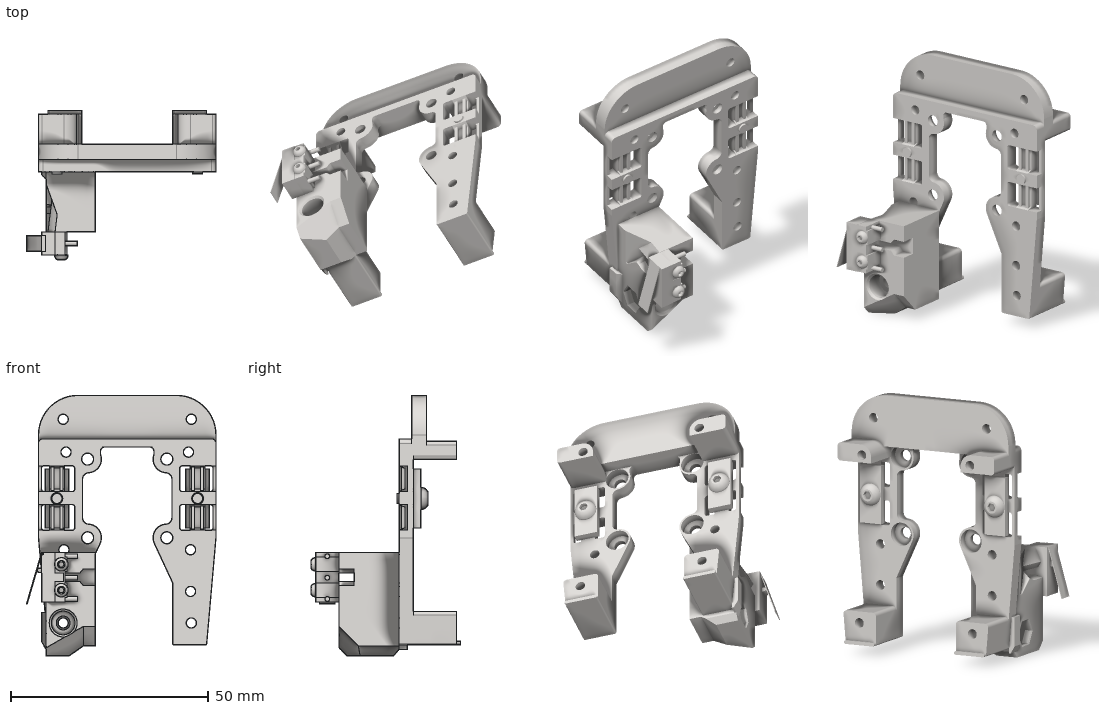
import cadquery as cq
import math

BEYOND = 0.65

HALF_WIDTH = 22.5
PLATE_THICKNESS = 3.6
PLATE_TOP = 55.0
PLATE_CORNER = 1.2
TAPER_TOP = 29.9
LEG_BOTTOM = 2.8
LEG_OUTER = 20.1
LEG_INNER = 11.5
LEG_INNER_TOP = 18.5
TOTAL_HEIGHT = 66.0

FLANGE_FRONT = 3.2
FLANGE_BACK = 7.0
FLANGE_CORNER = 10.0

OPENING_TOP = 52.85
OPENING_TOP_HALF = 6.7
OPENING_SIDE_HALF = 11.3
OPENING_TOP_FILLET = 1.0
LOBE_X = 10.0
LOBE_HEIGHTS = (29.9, 49.8)
LOBE_RADIUS = 3.5
LOBE_FILLET = 1.5
MOTOR_HOLE = 3.0
MOTOR_COUNTERBORE = 6.0
MOTOR_SEAT = 1.3

SMALL_HOLE = 2.5
FOOT_HOLE = (16.25, 8.3)
SMALL_HOLES = ((16.25, 59.9), (15.5, 51.6), (16.05, 26.85), (16.05, 16.3), FOOT_HOLE)

LUG_BACK = 14.6
LUG_FILLET = 0.9
UPPER_LUG_BOTTOM = 49.7
UPPER_LUG_TOP = 54.4
UPPER_LUG_INNER = 12.9
UPPER_LUG_ROUND = 3.1
LOWER_LUG_TOP = 11.3
LIP_BACK = 15.6
LIP_HEIGHT = 0.9
LIP_FILLET = 0.45
FOOT_FILLET = 0.4

CLAMP_X = 17.8
CLAMP_Z = 39.85
WINDOW_BOTTOMS = (31.8, 41.65)
WINDOW_HEIGHT = 6.5
WINDOW_INNER = 13.3
WINDOW_OUTER = 21.7
WINDOW_CORNER = 0.6
BELT_DEPTH = 2.1
BAR_HALF = 1.9
BAR_FRONT = 1.45
RIB_INNER = 0.7
RIB_OUTER = 1.5
RIB_FRONT = 0.65
BAR_RAMP = 0.6

DOME_FLATNESS = 8
HEAD_RIM = 0.2

CLAMP_WIDTH = 6.0
CLAMP_HEIGHT = 15.0
CLAMP_THICKNESS = 1.9
CLAMP_SCREW = 3.0
CLAMP_SCREW_TIP = -0.5
CLAMP_SCREW_POINT = 2.6
CLAMP_HEAD = 5.7
CLAMP_HEAD_TOP = 3.05
CLAMP_HEAD_HEIGHT = 1.85
CLAMP_SOCKET = 2.3
CLAMP_SOCKET_DEPTH = 1.05

BRACKET_LEFT = -20.5
BRACKET_RIGHT = -8.05
BRACKET_TOP = 26.2
BRACKET_FRONT = -15.25
BRACKET_FOOT_END = -14.7
STEP_X = -11.1
STEP_BOTTOM = 2.5
BACK_CHAMFER_Y = 1.4
BACK_CHAMFER_Z = 1.6
FOOT_CHAMFER = 2.05
STEP_CHAMFER_TOP = 7.45

TAB_LEFT = -21.7
TAB_FRONT = -1.9
TAB_BACK = 2.1
TAB_BOTTOM = 1.6
TAB_TOP = 11.0
TAB_SLOPE_TOP = 3.55

BORE_COUNTERBORE = 6.0
BORE_CHAMFER = 0.5
BORE_COUNTERBORE_DEPTH = 4.95
BORE_HOLE = 3.5

NUT_Y = -6.0
NUT_Z = 5.6
NUT_CORNERS = 6.9
NUT_DEPTH = 2.0
NUT_CHAMFER = 0.3

CHANNEL_BOTTOM = 18.9
CHANNEL_TOP = 20.9
CHANNEL_BACK = -11.35
FLARE_START = -12.1
FLARE_RISE = 1.1

HOLLOW_BACK = -3.2
HOLLOW_DEEP = (-17.75, -10.8)
HOLLOW_FLOOR_OUTER = (
    (HOLLOW_BACK, 15.85), (-4.1, 16.0), (-8.2, 19.3), (-9.0, 19.0), (-10.55, 18.4), (BRACKET_FRONT, 18.4)
)
HOLLOW_FLOOR_INNER = (
    (HOLLOW_BACK, 15.85), (-4.1, 16.7), (-8.65, 20.85), (-9.0, 19.3), (-10.55, CHANNEL_BOTTOM),
    (BRACKET_FRONT, CHANNEL_BOTTOM)
)
HOLLOW_FLOOR_INNER_X = -18.5
RIDGE_TURN = 6.8
RIDGE_TOP_X = -18.3
RIDGE_X = -20.05
RIDGE_Z = 22.45
RIDGE_FOOT_X = -19.2

SWITCH_LEFT = -21.7
SWITCH_STEP = -18.3
SWITCH_RIGHT = -15.7
SWITCH_DEPTH = 5.9
SWITCH_BOTTOM = 13.6
SWITCH_RECESS = 0.05
TONGUE_RIGHT = -16.1
BOSS_RIGHT = -15.25
BOSS_HEIGHT = 3.7
PIN_DIAMETER = 1.2
PIN_END = -12.6
PIN_SPACING = 5.4
PIN_MIDDLE_Z = 19.8
BUTTON_TIP = -22.8
BUTTON_Z = 21.65
BUTTON_HEIGHT = 1.2
BUTTON_WIDTH = 2.0
BUTTON_ROUND = 0.5
SWITCH_MIDDLE_Y = BRACKET_FRONT - SWITCH_DEPTH / 2
SWITCH_MIDDLE_Z = (BRACKET_TOP + SWITCH_BOTTOM) / 2
SWITCH_FRONT = BRACKET_FRONT - SWITCH_DEPTH

LEVER_WIDTH = 4.0
LEVER_THICKNESS = 0.2
LEVER_TIP = (-25.55, 13.15)
LEVER_PIN = 0.4
LEVER_PIN_X = -21.4
LEVER_TAB_END = -20.7
LEVER_TAB_HEIGHT = 0.8

SWITCH_SCREW_X = -16.7
SWITCH_SCREW_SPACING = 6.55
SWITCH_SCREW = 2.0
SWITCH_SCREW_END = -10.7
SWITCH_HEAD = 3.4
SWITCH_HEAD_TOP = 1.9
SWITCH_HEAD_HEIGHT = 1.2
SWITCH_SOCKET = 1.45
SWITCH_SOCKET_DEPTH = 0.8


def box(x_range, y_range, z_range):
    """Axis-aligned block between pairs of limits."""
    size = [high - low for low, high in (x_range, y_range, z_range)]
    corner = (x_range[0], y_range[0], z_range[0])
    return cq.Workplane("XY").box(*size, centered=False).translate(corner)


def upright(y):
    """Sketch plane at y with X to the right and Z up; negative extrusion goes toward +Y."""
    return cq.Workplane("XZ", origin=(0, y, 0))


def rod(x, z, diameter, y_front, y_back):
    """Cylinder along Y."""
    return upright(y_front).center(x, z).circle(diameter / 2).extrude(y_front - y_back)


def with_mirror(half):
    """A right-hand feature together with its left-hand mirror image."""
    return half.union(half.mirror("YZ"))


def leg_outer_x(z):
    """Outer side of the tapering leg at height z."""
    share = (z - LEG_BOTTOM) / (TAPER_TOP - LEG_BOTTOM)
    return LEG_OUTER + share * (HALF_WIDTH - LEG_OUTER)


def opening():
    """The central opening and the gap between the legs."""
    low_z, high_z = LOBE_HEIGHTS
    reach_x = LEG_INNER - LOBE_X
    reach_z = LEG_INNER_TOP - low_z
    distance = math.hypot(reach_x, reach_z)
    tangent_angle = math.atan2(reach_z, reach_x) - math.acos(LOBE_RADIUS / distance)
    tangent = (
        LOBE_X + LOBE_RADIUS * math.cos(tangent_angle),
        low_z + LOBE_RADIUS * math.sin(tangent_angle),
    )
    fillet_x = OPENING_SIDE_HALF - LOBE_FILLET
    fillet_shift = math.sqrt((LOBE_RADIUS + LOBE_FILLET) ** 2 - (LOBE_X - fillet_x) ** 2)
    lean = math.atan2(fillet_shift, LOBE_X - fillet_x)
    middle = lean / 2
    touch_x = LOBE_X - LOBE_RADIUS * math.cos(lean)
    touch_rise = LOBE_RADIUS * math.sin(lean)
    bulge_x = fillet_x + LOBE_FILLET * math.cos(middle)
    bulge_rise = fillet_shift - LOBE_FILLET * math.sin(middle)
    lobe_entry = high_z + math.sqrt(LOBE_RADIUS**2 - (LOBE_X - OPENING_TOP_HALF) ** 2)
    lobe_side = LOBE_X - LOBE_RADIUS

    half = (
        upright(-BEYOND)
        .moveTo(0, OPENING_TOP)
        .lineTo(OPENING_TOP_HALF - OPENING_TOP_FILLET, OPENING_TOP)
        .radiusArc((OPENING_TOP_HALF, OPENING_TOP - OPENING_TOP_FILLET), OPENING_TOP_FILLET)
        .lineTo(OPENING_TOP_HALF, lobe_entry)
        .threePointArc(
            (LOBE_X - LOBE_RADIUS * math.cos(middle), high_z - LOBE_RADIUS * math.sin(middle)),
            (touch_x, high_z - touch_rise),
        )
        .threePointArc((bulge_x, high_z - bulge_rise), (OPENING_SIDE_HALF, high_z - fillet_shift))
        .lineTo(OPENING_SIDE_HALF, low_z + fillet_shift)
        .threePointArc((bulge_x, low_z + bulge_rise), (touch_x, low_z + touch_rise))
        .threePointArc((lobe_side, low_z), tangent)
        .lineTo(LEG_INNER, LEG_INNER_TOP)
        .lineTo(LEG_INNER, LEG_BOTTOM - BEYOND)
        .lineTo(0, LEG_BOTTOM - BEYOND)
        .close()
        .extrude(-(PLATE_THICKNESS + 2 * BEYOND))
    )
    return with_mirror(half)


def plate():
    """Front plate with tapering legs."""
    blank = (
        upright(0)
        .polyline([
            (-HALF_WIDTH, PLATE_TOP), (HALF_WIDTH, PLATE_TOP), (HALF_WIDTH, TAPER_TOP),
            (LEG_OUTER, LEG_BOTTOM), (-LEG_OUTER, LEG_BOTTOM), (-HALF_WIDTH, TAPER_TOP),
        ])
        .close()
        .extrude(-PLATE_THICKNESS)
        .edges("|Y and >Z")
        .fillet(PLATE_CORNER)
    )
    return blank.cut(opening()).edges("|Y and <Z").fillet(FOOT_FILLET)


def flange():
    """Raised rear flange with large rounded top corners."""
    return (
        box((-HALF_WIDTH, HALF_WIDTH), (FLANGE_FRONT, FLANGE_BACK), (OPENING_TOP, TOTAL_HEIGHT))
        .edges("|Y and >Z")
        .fillet(FLANGE_CORNER)
    )


def upper_lugs():
    """Rear lugs at the top, with a large round at the inner top corner."""
    lug = box(
        (UPPER_LUG_INNER, HALF_WIDTH),
        (PLATE_THICKNESS, LUG_BACK),
        (UPPER_LUG_BOTTOM, UPPER_LUG_TOP),
    )
    lug = lug.edges("|Y and >X").fillet(LUG_FILLET)
    lug = lug.edges("|Y and <X and >Z").fillet(UPPER_LUG_ROUND)
    return with_mirror(lug)


def lower_lugs():
    """Rear lugs at the feet, each with a thin lip along its bottom."""
    lug = (
        upright(PLATE_THICKNESS)
        .polyline([
            (LEG_INNER, LEG_BOTTOM), (LEG_OUTER, LEG_BOTTOM),
            (leg_outer_x(LOWER_LUG_TOP), LOWER_LUG_TOP), (LEG_INNER, LOWER_LUG_TOP),
        ])
        .close()
        .extrude(PLATE_THICKNESS - LUG_BACK)
        .edges("|Y and >Z")
        .fillet(LUG_FILLET)
        .edges("|Y and <Z")
        .fillet(FOOT_FILLET)
    )
    lip = (
        box((LEG_INNER, LEG_OUTER), (LUG_BACK - BEYOND, LIP_BACK), (LEG_BOTTOM, LEG_BOTTOM + LIP_HEIGHT))
        .edges("|Y and >Z")
        .fillet(LIP_FILLET)
        .edges("|Y and <Z")
        .fillet(FOOT_FILLET)
    )
    return with_mirror(lug.union(lip))


def belt_bar(bottom, top):
    """Ribbed bar that the belt loops around, with a ramp toward the front at either end."""
    z_range = (bottom, top)
    bar = box((CLAMP_X - BAR_HALF, CLAMP_X + BAR_HALF), (BAR_FRONT, PLATE_THICKNESS), z_range)
    for rib_left in (CLAMP_X - RIB_OUTER, CLAMP_X + RIB_INNER):
        rib_right = rib_left + RIB_OUTER - RIB_INNER
        bar = bar.union(box((rib_left, rib_right), (RIB_FRONT, PLATE_THICKNESS), z_range))
    for end, rise in ((bottom, BAR_RAMP), (top, -BAR_RAMP)):
        ramp = (
            cq.Workplane("YZ", origin=(CLAMP_X - BAR_HALF, 0, 0))
            .polyline([(0, end), (BAR_FRONT, end), (BAR_FRONT, end + rise)])
            .close()
            .extrude(2 * BAR_HALF)
        )
        bar = bar.union(ramp)
    return bar


def belt_windows():
    """Windows for the belt, open to the outer sides at the front, each leaving a bar."""
    cutters = cq.Workplane("XY")
    for bottom in WINDOW_BOTTOMS:
        top = bottom + WINDOW_HEIGHT
        window = (
            box((WINDOW_INNER, WINDOW_OUTER), (0, PLATE_THICKNESS), (bottom, top))
            .edges("|Y")
            .fillet(WINDOW_CORNER)
        )
        side_slot = box((CLAMP_X, HALF_WIDTH + BEYOND), (0, BELT_DEPTH), (bottom, top))
        cutters = cutters.union(window.union(side_slot).cut(belt_bar(bottom, top)))
    return with_mirror(cutters)


def make_frame():
    """Plate, flange and lugs in one piece, with all its holes."""
    body = plate().union(flange()).union(upper_lugs()).union(lower_lugs())
    body = body.cut(belt_windows())
    for side in (-1, 1):
        for x, z in SMALL_HOLES:
            body = body.cut(rod(side * x, z, SMALL_HOLE, -BEYOND, LIP_BACK + BEYOND))
        for z in LOBE_HEIGHTS:
            body = body.cut(rod(side * LOBE_X, z, MOTOR_HOLE, -BEYOND, PLATE_THICKNESS))
            body = body.cut(rod(side * LOBE_X, z, MOTOR_COUNTERBORE, MOTOR_SEAT, PLATE_THICKNESS))
        body = body.cut(rod(side * CLAMP_X, CLAMP_Z, CLAMP_SCREW, -BEYOND, PLATE_THICKNESS))
    return body


def make_clamp(x):
    """Plate behind the frame that presses the belt ends."""
    y_range = (PLATE_THICKNESS, PLATE_THICKNESS + CLAMP_THICKNESS)
    body = box(
        (x - CLAMP_WIDTH / 2, x + CLAMP_WIDTH / 2),
        y_range,
        (CLAMP_Z - CLAMP_HEIGHT / 2, CLAMP_Z + CLAMP_HEIGHT / 2),
    )
    return body.cut(rod(x, CLAMP_Z, CLAMP_SCREW, *y_range))


def button_screw(shank, length, head, head_top, head_height, socket, socket_depth):
    """Button-head screw: seat at the origin, head toward +Z, shank toward -Z."""
    bulge = (head_height - HEAD_RIM) / DOME_FLATNESS
    shoulder = ((head + head_top) / 4 + bulge, (head_height + HEAD_RIM) / 2 + bulge)
    body = (
        cq.Workplane("XZ")
        .moveTo(0, -length)
        .lineTo(shank / 2, -length)
        .lineTo(shank / 2, 0)
        .lineTo(head / 2, 0)
        .lineTo(head / 2, HEAD_RIM)
        .threePointArc(shoulder, (head_top / 2, head_height))
        .lineTo(0, head_height)
        .close()
        .revolve(360, (0, 0), (0, 1))
    )
    recess = cq.Workplane("XY", origin=(0, 0, head_height)).polygon(6, socket).extrude(-socket_depth)
    return body.cut(recess)


def make_clamp_screw(x):
    """Screw through clamp and frame, its reduced point standing out of the frame's front."""
    seat_y = PLATE_THICKNESS + CLAMP_THICKNESS
    screw = button_screw(
        CLAMP_SCREW, seat_y, CLAMP_HEAD, CLAMP_HEAD_TOP, CLAMP_HEAD_HEIGHT,
        CLAMP_SOCKET, CLAMP_SOCKET_DEPTH,
    )
    screw = screw.rotate((0, 0, 0), (1, 0, 0), -90).translate((x, seat_y, CLAMP_Z))
    return screw.union(rod(x, CLAMP_Z, CLAMP_SCREW_POINT, CLAMP_SCREW_TIP, PLATE_THICKNESS))


SWITCH_SCREW_HEIGHTS = [
    SWITCH_MIDDLE_Z + side * SWITCH_SCREW_SPACING / 2 for side in (-1, 1)
]


def make_switch_screw(z):
    """Screw that holds the switch on the bracket."""
    screw = button_screw(
        SWITCH_SCREW, SWITCH_SCREW_END - SWITCH_FRONT, SWITCH_HEAD, SWITCH_HEAD_TOP,
        SWITCH_HEAD_HEIGHT, SWITCH_SOCKET, SWITCH_SOCKET_DEPTH,
    )
    return screw.rotate((0, 0, 0), (1, 0, 0), 90).translate((SWITCH_SCREW_X, SWITCH_FRONT, z))


def switch_screw_holes():
    """Holes for the switch screws, through the switch and into the bracket."""
    holes = cq.Workplane("XY")
    for z in SWITCH_SCREW_HEIGHTS:
        holes = holes.add(rod(SWITCH_SCREW_X, z, SWITCH_SCREW, SWITCH_FRONT, SWITCH_SCREW_END))
    return holes.combine()


def chamfer_section(top):
    """Corners of the triangle below a 45 degree chamfer that reaches up to `top`."""
    return [(BRACKET_FRONT, 0), (BRACKET_FRONT + top, 0), (BRACKET_FRONT, top)]


def bracket_block():
    """Block with a stepped foot, chamfered along its front and back bottom edges."""
    block = (
        upright(BRACKET_FRONT)
        .polyline([
            (BRACKET_LEFT, BRACKET_TOP), (BRACKET_LEFT, 0), (BRACKET_FOOT_END, 0),
            (STEP_X, STEP_BOTTOM), (BRACKET_RIGHT, STEP_BOTTOM), (BRACKET_RIGHT, BRACKET_TOP),
        ])
        .close()
        .extrude(BRACKET_FRONT)
    )
    back_chamfer = (
        cq.Workplane("YZ", origin=(BRACKET_LEFT, 0, 0))
        .polyline([(0, 0), (-BACK_CHAMFER_Y, 0), (0, BACK_CHAMFER_Z)])
        .close()
        .extrude(BRACKET_RIGHT - BRACKET_LEFT)
    )

    growing = (
        cq.Workplane("YZ", origin=(BRACKET_LEFT, 0, 0))
        .polyline(chamfer_section(FOOT_CHAMFER))
        .close()
        .workplane(offset=STEP_X - BRACKET_LEFT)
        .polyline(chamfer_section(STEP_CHAMFER_TOP))
        .close()
        .loft(ruled=True)
    )
    even = (
        cq.Workplane("YZ", origin=(STEP_X, 0, 0))
        .polyline(chamfer_section(STEP_CHAMFER_TOP))
        .close()
        .extrude(BRACKET_RIGHT - STEP_X)
    )
    return block.cut(back_chamfer).cut(growing).cut(even)


def bracket_tab():
    """Tab that hooks beside the frame leg, with a bevelled front edge and a sloped foot."""
    reach = BRACKET_LEFT - TAB_LEFT
    inner = BRACKET_LEFT + reach
    tab = (
        cq.Workplane("XY", origin=(0, 0, TAB_BOTTOM))
        .polyline([
            (inner, TAB_BACK), (TAB_LEFT, TAB_BACK), (TAB_LEFT, TAB_FRONT + reach),
            (BRACKET_LEFT, TAB_FRONT), (inner, TAB_FRONT),
        ])
        .close()
        .extrude(TAB_TOP - TAB_BOTTOM)
    )
    slope = (
        upright(TAB_FRONT)
        .polyline([
            (TAB_LEFT, TAB_BOTTOM), (BRACKET_LEFT, TAB_BOTTOM), (TAB_LEFT, TAB_SLOPE_TOP),
        ])
        .close()
        .extrude(TAB_FRONT - TAB_BACK)
    )
    leg = (
        upright(0)
        .polyline([
            (-leg_outer_x(0), 0), (-leg_outer_x(TAPER_TOP), TAPER_TOP), (0, TAPER_TOP), (0, 0),
        ])
        .close()
        .extrude(-TAB_BACK)
    )
    return tab.cut(slope).cut(leg)


def bracket_bore():
    """Counterbored screw hole along Y, in line with the frame's foot hole."""
    x = -FOOT_HOLE[0]
    z = FOOT_HOLE[1]
    floor_y = BRACKET_FRONT + BORE_COUNTERBORE_DEPTH
    bore = rod(x, z, BORE_HOLE, BRACKET_FRONT, 0)
    bore = bore.union(rod(x, z, BORE_COUNTERBORE, BRACKET_FRONT, floor_y))
    mouth = (
        upright(BRACKET_FRONT)
        .center(x, z)
        .circle(BORE_COUNTERBORE / 2 + BORE_CHAMFER)
        .extrude(-BORE_CHAMFER, taper=45)
    )
    return bore.union(mouth)


def nut_pocket():
    """Hexagonal pocket in the left side, with a chamfered mouth."""
    side = cq.Workplane("YZ", origin=(BRACKET_LEFT, NUT_Y, NUT_Z))
    pocket = side.polygon(6, NUT_CORNERS).extrude(NUT_DEPTH)
    mouth = side.polygon(6, NUT_CORNERS + 2 * NUT_CHAMFER).extrude(NUT_CHAMFER, taper=45)
    return pocket.union(mouth)


def terminal_channel():
    """Slot across the front face behind the switch, flared toward its right end."""
    low, high = CHANNEL_BOTTOM, CHANNEL_TOP
    return (
        upright(BRACKET_FRONT)
        .polyline([
            (BRACKET_LEFT, low), (FLARE_START, low), (STEP_X, low - FLARE_RISE),
            (BRACKET_RIGHT, low - FLARE_RISE), (BRACKET_RIGHT, high + FLARE_RISE),
            (STEP_X, high + FLARE_RISE), (FLARE_START, high), (BRACKET_LEFT, high),
        ])
        .close()
        .extrude(BRACKET_FRONT - CHANNEL_BACK)
    )


def lever_hollow():
    """Hollow in the left side: a slanted wall, with a ridge running along the channel."""
    slope = (HOLLOW_DEEP[0] - BRACKET_LEFT) / (HOLLOW_DEEP[1] - HOLLOW_BACK)
    wall_end = BRACKET_LEFT + slope * (BRACKET_FRONT - HOLLOW_BACK)
    in_front_of_wall = (
        cq.Workplane("XY")
        .polyline([(BRACKET_LEFT, HOLLOW_BACK), (wall_end, BRACKET_FRONT), (BRACKET_LEFT, BRACKET_FRONT)])
        .close()
        .extrude(BRACKET_TOP)
    )
    ceiling = [(BRACKET_FRONT, BRACKET_TOP), (HOLLOW_BACK, BRACKET_TOP)]
    funnel = (
        cq.Workplane("YZ", origin=(BRACKET_LEFT, 0, 0))
        .polyline([*HOLLOW_FLOOR_OUTER, *ceiling])
        .close()
        .workplane(offset=HOLLOW_FLOOR_INNER_X - BRACKET_LEFT)
        .polyline([*HOLLOW_FLOOR_INNER, *ceiling])
        .close()
        .loft(ruled=True)
    )
    deep_part = (
        cq.Workplane("YZ", origin=(HOLLOW_FLOOR_INNER_X, 0, 0))
        .polyline([*HOLLOW_FLOOR_INNER, *ceiling])
        .close()
        .extrude(wall_end - HOLLOW_FLOOR_INNER_X)
    )
    above_floor = funnel.union(deep_part)
    sweep = -BRACKET_FRONT
    outside = RIDGE_X - sweep
    beside_ridge = (
        upright(BRACKET_FRONT - BEYOND)
        .polyline([
            (RIDGE_TOP_X, BRACKET_TOP), (RIDGE_X, RIDGE_Z), (RIDGE_FOOT_X, CHANNEL_TOP),
            (RIDGE_FOOT_X, 0), (outside, 0), (outside, BRACKET_TOP),
        ])
        .close()
        .extrude(-sweep)
        .rotate((RIDGE_TOP_X, BRACKET_FRONT, 0), (RIDGE_TOP_X, BRACKET_FRONT, 1), -RIDGE_TURN)
    )
    return in_front_of_wall.intersect(above_floor).intersect(beside_ridge)


def make_bracket():
    """Switch bracket in front of the frame's left leg."""
    body = bracket_block().union(bracket_tab())
    for tool in (bracket_bore(), nut_pocket(), terminal_channel(), lever_hollow(), switch_screw_holes()):
        body = body.cut(tool)
    return body


LEVER_Y = (SWITCH_MIDDLE_Y - LEVER_WIDTH / 2, SWITCH_MIDDLE_Y + LEVER_WIDTH / 2)
LEVER_TAB_Z = (BRACKET_TOP - LEVER_TAB_HEIGHT, BRACKET_TOP)


def lever_hinge():
    """Tab and hinge pin that hold the lever in the switch."""
    tab = box((SWITCH_LEFT, LEVER_TAB_END), LEVER_Y, LEVER_TAB_Z)
    pin_z = sum(LEVER_TAB_Z) / 2
    return tab.union(rod(LEVER_PIN_X, pin_z, LEVER_PIN, SWITCH_FRONT, BRACKET_FRONT))


def make_switch():
    """Switch housing with a tongue on its front, screw bosses, three pins and a button."""
    z_range = (SWITCH_BOTTOM, BRACKET_TOP)
    y_range = (SWITCH_FRONT, BRACKET_FRONT)
    body = box((SWITCH_LEFT, SWITCH_STEP), y_range, z_range)
    body = body.union(box(
        (SWITCH_STEP, SWITCH_RIGHT),
        (SWITCH_FRONT + SWITCH_RECESS, BRACKET_FRONT),
        (SWITCH_BOTTOM + SWITCH_RECESS, BRACKET_TOP - SWITCH_RECESS),
    ))
    body = body.union(box((SWITCH_STEP, TONGUE_RIGHT), y_range, (CHANNEL_BOTTOM, CHANNEL_TOP)))
    for z in SWITCH_SCREW_HEIGHTS:
        boss_z = (z - BOSS_HEIGHT / 2, z + BOSS_HEIGHT / 2)
        boss_y = (SWITCH_FRONT + SWITCH_RECESS, BRACKET_FRONT)
        body = body.union(box((SWITCH_STEP, BOSS_RIGHT), boss_y, boss_z))
    for row in (-1, 0, 1):
        pin = (
            cq.Workplane("YZ", origin=(SWITCH_RIGHT, SWITCH_MIDDLE_Y, PIN_MIDDLE_Z + row * PIN_SPACING))
            .circle(PIN_DIAMETER / 2)
            .extrude(PIN_END - SWITCH_RIGHT)
        )
        body = body.union(pin)
    button = box(
        (BUTTON_TIP, SWITCH_LEFT),
        (SWITCH_MIDDLE_Y - BUTTON_WIDTH / 2, SWITCH_MIDDLE_Y + BUTTON_WIDTH / 2),
        (BUTTON_Z - BUTTON_HEIGHT / 2, BUTTON_Z + BUTTON_HEIGHT / 2),
    )
    button = button.edges("|Y and <X").fillet(BUTTON_ROUND)
    body = body.union(button)
    return body.cut(lever_hinge()).cut(switch_screw_holes())


def make_lever():
    """Thin bent strip: a tab held in the switch and a long slanted arm."""
    tip_x, tip_z = LEVER_TIP
    drop = LEVER_THICKNESS * (BRACKET_TOP - tip_z) / (SWITCH_LEFT - tip_x)
    arm = (
        upright(LEVER_Y[0])
        .polyline([
            LEVER_TIP, (SWITCH_LEFT, BRACKET_TOP), (SWITCH_LEFT, BRACKET_TOP - drop),
            (tip_x + LEVER_THICKNESS, tip_z),
        ])
        .close()
        .extrude(-LEVER_WIDTH)
    )
    return arm.union(lever_hinge())


frame = make_frame()
bracket = make_bracket()
switch = make_switch()
lever = make_lever()
clamps = [make_clamp(side * CLAMP_X) for side in (-1, 1)]
clamp_screws = [make_clamp_screw(side * CLAMP_X) for side in (-1, 1)]
switch_screws = [make_switch_screw(z) for z in SWITCH_SCREW_HEIGHTS]

bodies = [frame, bracket, switch, lever, *clamps, *clamp_screws, *switch_screws]
result = cq.Compound.makeCompound([body.val() for body in bodies])